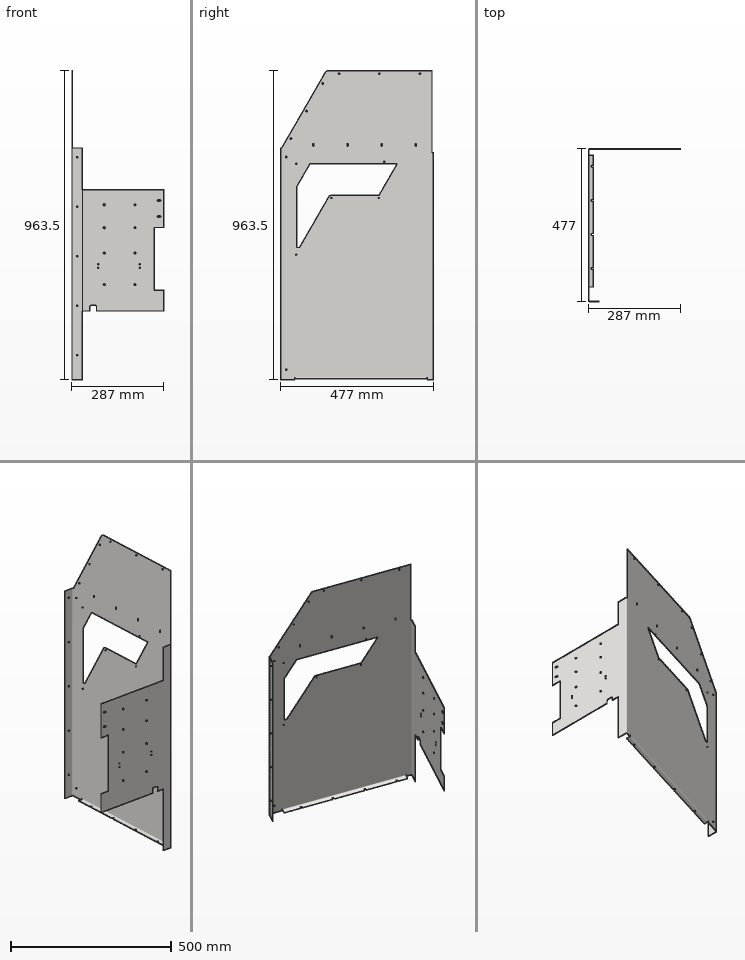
import cadquery as cq
import math

WIDTH = 287.0
DEPTH = 477.0
HEIGHT = 963.5
SHEET = 2.0
BEND_RADIUS = 3.95
SLOPE = math.tan(math.radians(60))

SIDE_FLANGE_WIDTH = 33.0
FRONT_FLANGE_HEIGHT = 723.0
BACK_FLANGE_HEIGHT = 708.0
BOTTOM_FLANGE_WIDTH = 15.0
BOTTOM_FLANGE_Z = 3.0
BOTTOM_FLANGE_FRONT = 45.0
BOTTOM_FLANGE_BACK = 457.0
BEND_RELIEF = 1.0
PANEL_CORNER_RADIUS = 10.0

WINDOW_TOP = 673.0
WINDOW_LEDGE = 575.0
WINDOW_BOTTOM = 412.0
WINDOW_FRONT = 51.0
WINDOW_FRONT_TOP = 601.0
WINDOW_BACK = 363.0
LEDGE_FRONT = 153.0
WINDOW_CORNER_RADIUS = 1.0
LEDGE_CORNER_RADIUS = 10.0

PLATE_BOTTOM = 214.0
PLATE_TOP = 593.0
PLATE_NOTCH_X = 257.0
PLATE_NOTCH_BOTTOM = 279.0
PLATE_NOTCH_TOP = 474.0
CABLE_NOTCH_X = 66.0
CABLE_NOTCH_WIDTH = 20.0
CABLE_NOTCH_DEPTH = 18.0
CABLE_NOTCH_RADIUS = 5.0

PIN_HOLE = 3.2
SCREW_HOLE = 4.2
CLEARANCE_HOLE = 5.0
LARGE_HOLE = 5.4

TOP_EDGE_HOLES = [(435.0, 954.0), (308.0, 954.0), (183.0, 954.0)]
SLOPE_HOLES = [(132.0, 923.0), (82.0, 837.0), (33.0, 752.0)]
FRONT_EDGE_HOLES = [(18.0, 695.0), (18.0, 32.0)]
WINDOW_HOLES = [(324.0, 679.0), (49.0, 673.5), (306.0, 567.0), (159.0, 567.0), (49.0, 390.0)]

SLOT_ROW_START = 103.0
SLOT_ROW_END = 422.0
SLOT_ROW_COUNT = 4
PANEL_SLOT_Z = 732.0
PANEL_SLOT_WIDTH = PIN_HOLE
PANEL_SLOT_LENGTH = 8.0
FLANGE_SLOT_WIDTH = CLEARANCE_HOLE
FLANGE_SLOT_END = 9.0

FLANGE_HOLE_X = 16.0
FLANGE_HOLE_START = 77.0
FLANGE_HOLE_PITCH = 154.0
FLANGE_HOLE_COUNT = 5

PLATE_HOLE_ROWS = [297.0, 395.0, 474.0, 545.0]
LARGE_COLUMN_X = 101.0
CLEARANCE_COLUMN_X = 197.0
PIN_COLUMNS = [82.0, 212.0]
PIN_ROWS = [349.0, 360.0]
EDGE_SLOT_X = 272.0
EDGE_SLOT_ROWS = [509.0, 559.0]
EDGE_SLOT_WIDTH = SCREW_HOLE
EDGE_SLOT_LENGTH = 10.0


def bent_flange(plane, edge, outward, width):
    """Profile of a quarter bend off the panel and the flat flange beyond it."""
    tangent = edge - outward * BEND_RADIUS
    inner_face = edge - outward * SHEET
    diagonal = math.sqrt(0.5)
    inner_radius = BEND_RADIUS - SHEET
    outer_middle = (BEND_RADIUS * (1 - diagonal), tangent + outward * BEND_RADIUS * diagonal)
    inner_middle = (BEND_RADIUS - inner_radius * diagonal, tangent + outward * inner_radius * diagonal)
    return (
        cq.Workplane(plane)
        .moveTo(0, tangent)
        .threePointArc(outer_middle, (BEND_RADIUS, edge))
        .lineTo(width, edge)
        .lineTo(width, inner_face)
        .lineTo(BEND_RADIUS, inner_face)
        .threePointArc(inner_middle, (SHEET, tangent))
        .close()
    )


def flat_panel():
    """Upright panel with a sloping front shoulder and a bottom edge cleared for the bend."""
    front = BEND_RADIUS
    back = DEPTH - BEND_RADIUS
    shoulder = front + (HEIGHT - FRONT_FLANGE_HEIGHT) / SLOPE
    relief_top = BOTTOM_FLANGE_Z + BEND_RADIUS
    relief_front = BOTTOM_FLANGE_FRONT - BEND_RELIEF
    relief_back = BOTTOM_FLANGE_BACK + BEND_RELIEF
    outline = [
        (front, 0),
        (relief_front, 0),
        (relief_front, relief_top),
        (relief_back, relief_top),
        (relief_back, 0),
        (back, 0),
        (back, HEIGHT),
        (shoulder, HEIGHT),
        (front, FRONT_FLANGE_HEIGHT),
    ]
    panel = cq.Workplane("YZ").polyline(outline).close().extrude(SHEET)
    shoulder_edge = cq.selectors.NearestToPointSelector((SHEET / 2, shoulder, HEIGHT))
    return panel.edges(shoulder_edge).fillet(PANEL_CORNER_RADIUS)


def window():
    """Cutter for the L-shaped window with sloping ends."""
    slope_top = WINDOW_FRONT + (WINDOW_TOP - WINDOW_FRONT_TOP) / SLOPE
    ledge_back = WINDOW_BACK - (WINDOW_TOP - WINDOW_LEDGE) / SLOPE
    foot_back = LEDGE_FRONT - (WINDOW_LEDGE - WINDOW_BOTTOM) / SLOPE
    outline = [
        (slope_top, WINDOW_TOP),
        (WINDOW_BACK, WINDOW_TOP),
        (ledge_back, WINDOW_LEDGE),
        (LEDGE_FRONT, WINDOW_LEDGE),
        (foot_back, WINDOW_BOTTOM),
        (WINDOW_FRONT, WINDOW_BOTTOM),
        (WINDOW_FRONT, WINDOW_FRONT_TOP),
    ]
    cutter = cq.Workplane("YZ").polyline(outline).close().extrude(SHEET)
    ledge_edge = cq.selectors.NearestToPointSelector((SHEET / 2, LEDGE_FRONT, WINDOW_LEDGE))
    back_edge = cq.selectors.NearestToPointSelector((SHEET / 2, WINDOW_BACK, WINDOW_TOP))
    cutter = cutter.edges(ledge_edge).fillet(LEDGE_CORNER_RADIUS)
    return cutter.edges(back_edge).fillet(WINDOW_CORNER_RADIUS)


def back_plate():
    """Flat plate continuing the back flange, with a notched outer edge and a cable notch."""
    outline = [
        (SIDE_FLANGE_WIDTH, PLATE_BOTTOM),
        (WIDTH, PLATE_BOTTOM),
        (WIDTH, PLATE_NOTCH_BOTTOM),
        (PLATE_NOTCH_X, PLATE_NOTCH_BOTTOM),
        (PLATE_NOTCH_X, PLATE_NOTCH_TOP),
        (WIDTH, PLATE_NOTCH_TOP),
        (WIDTH, PLATE_TOP),
        (SIDE_FLANGE_WIDTH, PLATE_TOP),
    ]
    back = cq.Workplane("XZ", origin=(0, DEPTH, 0))
    plate = back.polyline(outline).close().extrude(SHEET)
    cable_notch = (
        back.center(CABLE_NOTCH_X, PLATE_BOTTOM)
        .rect(CABLE_NOTCH_WIDTH, 2 * CABLE_NOTCH_DEPTH)
        .extrude(SHEET)
        .edges("|Y")
        .fillet(CABLE_NOTCH_RADIUS)
    )
    return plate.cut(cable_notch)


def panel_holes(places, diameter):
    return cq.Workplane("YZ").pushPoints(places).circle(diameter / 2).extrude(SHEET)


def wall_holes(places, diameter, outer_y):
    """Holes along Y through the sheet whose -Y face lies at outer_y."""
    wall = cq.Workplane("XZ", origin=(0, outer_y, 0))
    return wall.pushPoints(places).circle(diameter / 2).extrude(-SHEET)


def grid(columns, rows):
    return [(column, row) for column in columns for row in rows]


front_flange = bent_flange("XY", 0, -1, SIDE_FLANGE_WIDTH).extrude(FRONT_FLANGE_HEIGHT)
back_flange = bent_flange("XY", DEPTH, 1, SIDE_FLANGE_WIDTH).extrude(BACK_FLANGE_HEIGHT)
bottom_flange = (
    bent_flange("XZ", BOTTOM_FLANGE_Z, -1, BOTTOM_FLANGE_WIDTH)
    .extrude(BOTTOM_FLANGE_FRONT - BOTTOM_FLANGE_BACK)
    .translate((0, BOTTOM_FLANGE_FRONT, 0))
)
result = flat_panel().cut(window())
for piece in (front_flange, back_flange, bottom_flange, back_plate()):
    result = result.union(piece)

result = result.cut(panel_holes(TOP_EDGE_HOLES + SLOPE_HOLES + FRONT_EDGE_HOLES, SCREW_HOLE))
result = result.cut(panel_holes(WINDOW_HOLES, PIN_HOLE))

slot_pitch = (SLOT_ROW_END - SLOT_ROW_START) / (SLOT_ROW_COUNT - 1)
slot_row = [SLOT_ROW_START + i * slot_pitch for i in range(SLOT_ROW_COUNT)]
panel_slots = (
    cq.Workplane("YZ")
    .pushPoints([(y, PANEL_SLOT_Z) for y in slot_row])
    .slot2D(PANEL_SLOT_LENGTH, PANEL_SLOT_WIDTH, 90)
    .extrude(SHEET)
)
flange_slots = (
    cq.Workplane("XY", origin=(0, 0, BOTTOM_FLANGE_Z))
    .pushPoints([(BOTTOM_FLANGE_WIDTH, y) for y in slot_row])
    .slot2D(2 * (BOTTOM_FLANGE_WIDTH - FLANGE_SLOT_END), FLANGE_SLOT_WIDTH)
    .extrude(SHEET)
)
result = result.cut(panel_slots).cut(flange_slots)

flange_rows = [FLANGE_HOLE_START + i * FLANGE_HOLE_PITCH for i in range(FLANGE_HOLE_COUNT)]
result = result.cut(wall_holes(grid([FLANGE_HOLE_X], flange_rows), SCREW_HOLE, 0))

plate_face = DEPTH - SHEET
pin_places = grid(PIN_COLUMNS, PIN_ROWS)
result = result.cut(wall_holes(grid([LARGE_COLUMN_X], PLATE_HOLE_ROWS), LARGE_HOLE, plate_face))
result = result.cut(wall_holes(grid([CLEARANCE_COLUMN_X], PLATE_HOLE_ROWS), CLEARANCE_HOLE, plate_face))
result = result.cut(wall_holes(pin_places, PIN_HOLE, plate_face))
edge_slots = (
    cq.Workplane("XZ", origin=(0, plate_face, 0))
    .pushPoints(grid([EDGE_SLOT_X], EDGE_SLOT_ROWS))
    .slot2D(EDGE_SLOT_LENGTH, EDGE_SLOT_WIDTH)
    .extrude(-SHEET)
)
result = result.cut(edge_slots)